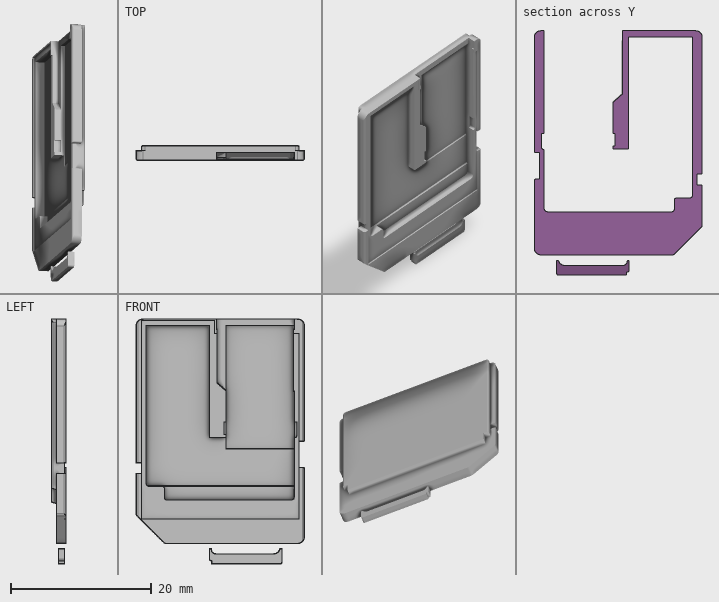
import cadquery as cq


card_width = 24.0
card_height = 32.0
step_inset = 0.75
front_thickness = 1.4
card_thickness = 2.1
half_width = card_width / 2
rear_half_width = half_width - step_inset
front_corner_radius = 1.0
rear_corner_radius = 0.5
corner_chamfer = 4.1
chamfer_blend_radius = 0.5
front_edge_radius = 0.3
rear_edge_radius = 0.25

tongue_bottom = 5.7
tongue_length = 2.0
tongue_slope_rise = 0.2
tongue_inset = step_inset

left_notch_bottom = 10.0
left_notch_height = 1.5
right_notch_bottom = 10.85
right_notch_height = 3.7
right_notch_edge_radius = 0.2

label_depth = 0.2
label_bottom = 3.5
label_top_margin = 0.2
label_slot_margin = 2.1
label_left_part_end = -0.85

wall = 1.45

slot_floor = 1.1
slot_left = -0.55
slot_right = half_width - wall
lip_width = 0.1
lip_back = 0.4
lip_top = 30.55
lip_bottom = 21.7
shoulder_top = 22.95
shoulder_bottom = 21.85

pocket_half_width = slot_right
top_wall = 0.95
pocket_top = card_height - top_wall
step_rise = 0.1
main_floor = 1.55
main_bottom = 8.15
main_corner_radius = 0.4
bay_floor = 1.7
bay_left = 0.8
bay_bottom = 13.45
lower_floor = 1.35
lower_bottom = 6.2
lower_left = -7.95
lower_left_radius = 0.35
lower_right_radius = 0.5

rib_left = -1.5
rib_bottom = 15.1

clip_width = 10.35
clip_height = 2.2
clip_thickness = slot_floor - label_depth
clip_left = -1.55
clip_bottom = -2.9
clip_heel_inset = 0.33
clip_heel_height = 0.45
clip_corner_radius = 0.25
clip_heel_radius = 0.25
prong_width = 0.3
prong_height = 0.75
left_prong_radius = 0.6
right_prong_radius = 0.9
seat_left = 0.5
seat_clearance = 0.05


def block(left, right, front, back, bottom, top):
    """Box given by its limits along X, Y and Z."""
    size = (right - left, back - front, top - bottom)
    return cq.Workplane("XY").box(*size, centered=False).translate((left, front, bottom))


def plate(outline, front, back):
    """Closed XZ outline extruded along Y from front to back."""
    sketch = cq.Workplane("XZ", origin=(0, front, 0))
    return sketch.polyline(outline).close().extrude(front - back)


def sloped_pocket(left, right, front, slope_start, back, bottom, top):
    """Pocket whose lower wall slopes up by the step rise from slope_start to its floor."""
    profile = [
        (front, bottom),
        (slope_start, bottom),
        (back, bottom + step_rise),
        (back, top),
        (front, top),
    ]
    sketch = cq.Workplane("YZ", origin=(left, 0, 0))
    return sketch.polyline(profile).close().extrude(right - left)


def round_corners(body, corners, radius):
    """Round the edges parallel to Y that stand at the given (x, z) corners."""
    reach = 0.01
    for x, z in corners:
        near = (x - reach, 0, z - reach)
        far = (x + reach, card_thickness, z + reach)
        body = body.edges(cq.selectors.BoxSelector(near, far)).edges("|Y").fillet(radius)
    return body


def front_half():
    """Wide front plate with rounded side edges, one chamfered corner and three round ones."""
    blank = block(-half_width, half_width, 0, front_thickness, 0, card_height)
    rounded_sides = blank.edges("|Z and <Y").fillet(front_edge_radius)
    corner_cut = plate(
        [(-half_width, 0), (-half_width, corner_chamfer), (corner_chamfer - half_width, 0)],
        0, front_thickness,
    )
    outline = blank.cut(corner_cut)
    outline = round_corners(
        outline,
        [(-half_width, card_height), (half_width, card_height), (half_width, 0)],
        front_corner_radius,
    )
    outline = round_corners(
        outline,
        [(-half_width, corner_chamfer), (corner_chamfer - half_width, 0)],
        chamfer_blend_radius,
    )
    return rounded_sides.intersect(outline)


def side_notches():
    """Notch in each side edge; the right one has rounded outer corners."""
    left_notch_top = left_notch_bottom + left_notch_height
    right_notch_top = right_notch_bottom + right_notch_height
    left = block(-half_width, -rear_half_width, 0, front_thickness,
                 left_notch_bottom, left_notch_top)
    flare = right_notch_edge_radius
    right = (
        cq.Workplane("XZ")
        .moveTo(rear_half_width, right_notch_bottom)
        .lineTo(half_width - flare, right_notch_bottom)
        .radiusArc((half_width, right_notch_bottom - flare), flare)
        .lineTo(half_width, right_notch_top + flare)
        .radiusArc((half_width - flare, right_notch_top), flare)
        .lineTo(rear_half_width, right_notch_top)
        .close()
        .extrude(-front_thickness)
    )
    return left.union(right)


def rear_half():
    """Narrow rear plate ending below in a narrower tongue with a sloping end."""
    tongue_half_width = rear_half_width - tongue_inset
    blank = block(-rear_half_width, rear_half_width, front_thickness, card_thickness,
                  tongue_bottom, card_height)
    rounded_sides = blank.edges("|Z and >Y").fillet(rear_edge_radius)
    top_corners = [(-rear_half_width, card_height), (rear_half_width, card_height)]
    body = round_corners(blank, top_corners, rear_corner_radius).intersect(rounded_sides)

    def sloped_block(half, bottom):
        """Everything above a sloping lower face, over the given half width."""
        profile = [
            (front_thickness, bottom),
            (card_thickness, bottom + tongue_slope_rise),
            (card_thickness, card_height),
            (front_thickness, card_height),
        ]
        return cq.Workplane("YZ").polyline(profile).close().extrude(half, both=True)

    full_width_part = sloped_block(rear_half_width, tongue_bottom + tongue_length)
    tongue_part = sloped_block(tongue_half_width, tongue_bottom)
    return body.intersect(full_width_part.union(tongue_part))


def label_recess():
    """Shallow recess over the front face, lowered along the top beside the card slot."""
    upper = card_height - label_top_margin
    lower = card_height - label_slot_margin
    outline = [
        (-rear_half_width, label_bottom),
        (rear_half_width, label_bottom),
        (rear_half_width, lower),
        (label_left_part_end, lower),
        (label_left_part_end, upper),
        (-rear_half_width, upper),
    ]
    return plate(outline, 0, label_depth)


def pockets():
    """Main pocket around the rib, the deeper card bay and the shallower lower pocket."""
    main = sloped_pocket(-pocket_half_width, pocket_half_width, 0, lower_floor, main_floor,
                         main_bottom, pocket_top)
    main = round_corners(main, [(-pocket_half_width, main_bottom)], main_corner_radius)
    main = main.cut(block(rib_left, half_width, 0, main_floor, rib_bottom, pocket_top))
    bay = sloped_pocket(bay_left, pocket_half_width, slot_floor, main_floor, bay_floor,
                        bay_bottom, pocket_top)
    flare = lower_left_radius
    lower = (
        cq.Workplane("XZ")
        .moveTo(lower_left - flare, main_bottom)
        .radiusArc((lower_left, main_bottom - flare), flare)
        .lineTo(lower_left, lower_bottom + flare)
        .radiusArc((lower_left + flare, lower_bottom), -flare)
        .lineTo(pocket_half_width - lower_right_radius, lower_bottom)
        .radiusArc((pocket_half_width, lower_bottom + lower_right_radius), -lower_right_radius)
        .lineTo(pocket_half_width, main_bottom)
        .close()
        .extrude(-lower_floor)
    )
    return main.union(bay).union(lower)


def card_slot():
    """Slot through the top wall and the rib, with a sloping shoulder on its left and front lips."""
    lip_left = slot_left + lip_width
    lip_right = slot_right - lip_width
    front_outline = [
        (slot_left, card_height),
        (slot_right, card_height),
        (slot_right, lip_top),
        (lip_right, lip_top),
        (lip_right, lip_bottom),
        (slot_right, lip_bottom),
        (slot_right, bay_bottom),
        (bay_left, bay_bottom),
        (bay_left, shoulder_bottom),
        (lip_left, shoulder_top),
        (lip_left, lip_top),
        (slot_left, lip_top),
    ]
    rear_outline = [
        (slot_left, card_height),
        (slot_right, card_height),
        (slot_right, bay_bottom),
        (bay_left, bay_bottom),
        (bay_left, shoulder_bottom - lip_width),
        (slot_left, shoulder_top),
    ]
    return plate(front_outline, 0, lip_back).union(plate(rear_outline, lip_back, slot_floor))


def clip_seat():
    """Recesses in the rib and in the right wall that take the ends of the clip."""
    seat_right = seat_left + clip_width + seat_clearance
    seat_top = rib_bottom + clip_height
    seat = block(seat_left, seat_right, 0, slot_floor, rib_bottom, seat_top)
    seat = round_corners(seat, [(seat_right, rib_bottom)], clip_corner_radius)
    heel = block(seat_left, bay_left, 0, slot_floor, rib_bottom, rib_bottom + clip_heel_height)
    return seat.cut(heel)


def make_housing():
    body = front_half().cut(side_notches()).union(rear_half())
    return body.cut(label_recess()).cut(pockets()).cut(card_slot()).cut(clip_seat())


def make_clip():
    """U-shaped clip with two short prongs on top and a stepped heel at the lower left."""
    right = clip_left + clip_width
    top = clip_bottom + clip_height
    saddle = top - prong_height
    body = (
        cq.Workplane("XZ", origin=(0, label_depth, 0))
        .moveTo(clip_left, top)
        .lineTo(clip_left, clip_bottom + clip_heel_height)
        .lineTo(clip_left + clip_heel_inset, clip_bottom + clip_heel_height)
        .lineTo(clip_left + clip_heel_inset, clip_bottom)
        .lineTo(right, clip_bottom)
        .lineTo(right, top)
        .lineTo(right - prong_width, top)
        .radiusArc((right - prong_width - right_prong_radius, saddle), right_prong_radius)
        .lineTo(clip_left + prong_width + left_prong_radius, saddle)
        .radiusArc((clip_left + prong_width, saddle + left_prong_radius), left_prong_radius)
        .lineTo(clip_left + prong_width, top)
        .close()
        .extrude(-clip_thickness)
    )
    body = round_corners(body, [(right, clip_bottom)], clip_corner_radius)
    return round_corners(body, [(clip_left, clip_bottom + clip_heel_height)], clip_heel_radius)


housing = make_housing()
clip = make_clip()

result = cq.Compound.makeCompound([housing.val(), clip.val()])